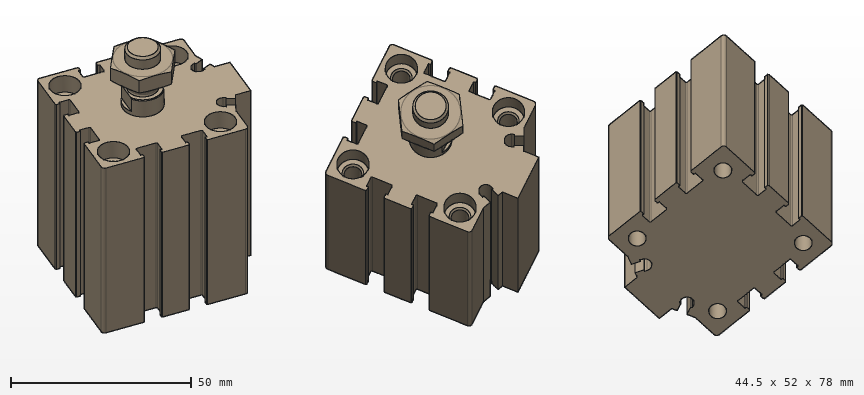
import cadquery as cq
import math

housing_width = 44.5
housing_depth = 52.0
housing_height = 58.0
half_width = housing_width / 2
corner_radius = 1.0

rail_half_width = 7.0
rail_top_y = housing_depth - half_width

sensor_slot_x = 8.6
sensor_slot_y = 20.7
sensor_slot_tilt = 22.5
sensor_slot_radius = 1.95
sensor_slot_mouth = 3.0
sensor_slot_lip_start = 0.8
sensor_face_height = 3.4

slot_offset = 6.9
slot_mouth = 5.2
slot_width = 6.5
slot_lip = 1.4
slot_depth = 4.6
slot_corner_radius = 0.3
slot_edge_radius = 0.2

mount_spacing = 32.6
mount_bore = 4.9
mount_counterbore = 9.0
mount_counterbore_depth = 5.8
mount_chamfer_top = 6.0

total_height = 78.0
rod_radius = 12.0 / 2
thread_radius = 10.0 / 2
neck_radius = 8.6 / 2
collar_radius = 9.0 / 2
shoulder_z = 63.9
shoulder_chamfer = 0.2
neck_bottom_z = 64.5
neck_top_z = 65.1
thread_bottom_z = 67.7
flare_radius = 11.7
tip_chamfer = 0.7
flat_half_width = 10.0 / 2
flat_clearance = 1.25
flat_bottom_z = housing_height + flat_clearance

nut_across_flats = 17.0
nut_bottom_z = 69.0
nut_height = 5.0
nut_face_radius = 16.6 / 2
nut_corner_drop = 0.35


def sensor_slot_point(across, along):
    """Point beside the left sensor slot, measured from the centre of its round bottom."""
    tilt = math.radians(sensor_slot_tilt)
    x = -sensor_slot_x + across * math.cos(tilt) - along * math.sin(tilt)
    y = sensor_slot_y + across * math.sin(tilt) + along * math.cos(tilt)
    return x, y


def make_sensor_shoulder():
    """Sloping block on the +Y side, from which the left sensor slot is cut."""
    slope = math.tan(math.radians(sensor_slot_tilt))
    face_x, face_y = sensor_slot_point(0, sensor_face_height)
    foot_x = face_x - (face_y - half_width) / slope
    rail_y = face_y + (-rail_half_width - face_x) * slope
    outline = [(foot_x, half_width), (-rail_half_width, rail_y), (-rail_half_width, half_width)]
    return cq.Workplane("XY").polyline(outline).close().extrude(housing_height)


def make_sensor_slot():
    """Left sensor slot: round bottom, straight sides and a narrower mouth."""
    mouth_half = sensor_slot_mouth / 2
    beyond_face = 2 * sensor_face_height
    return (
        cq.Workplane("XY")
        .moveTo(*sensor_slot_point(-mouth_half, beyond_face))
        .lineTo(*sensor_slot_point(-mouth_half, sensor_slot_lip_start))
        .lineTo(*sensor_slot_point(-sensor_slot_radius, sensor_slot_lip_start))
        .lineTo(*sensor_slot_point(-sensor_slot_radius, 0))
        .threePointArc(
            sensor_slot_point(0, -sensor_slot_radius),
            sensor_slot_point(sensor_slot_radius, 0),
        )
        .lineTo(*sensor_slot_point(sensor_slot_radius, sensor_slot_lip_start))
        .lineTo(*sensor_slot_point(mouth_half, sensor_slot_lip_start))
        .lineTo(*sensor_slot_point(mouth_half, beyond_face))
        .close()
        .extrude(housing_height)
    )


def make_side_slot(offset):
    """Undercut slot in the -Y side at the given X, running the full height, with rounded edges."""
    flared_mouth = slot_mouth / 2 + slot_edge_radius
    edge_y = -half_width + slot_edge_radius
    mouth = (
        cq.Workplane("XY")
        .center(offset, 0)
        .moveTo(-flared_mouth, -half_width)
        .lineTo(flared_mouth, -half_width)
        .radiusArc((slot_mouth / 2, edge_y), -slot_edge_radius)
        .lineTo(slot_mouth / 2, -half_width + slot_lip)
        .lineTo(-slot_mouth / 2, -half_width + slot_lip)
        .lineTo(-slot_mouth / 2, edge_y)
        .radiusArc((-flared_mouth, -half_width), -slot_edge_radius)
        .close()
        .extrude(housing_height)
    )
    pocket_depth = slot_depth - slot_lip
    pocket = (
        cq.Workplane("XY")
        .center(offset, -half_width + slot_lip + pocket_depth / 2)
        .rect(slot_width, pocket_depth)
        .extrude(housing_height)
        .edges("|Z and >Y")
        .fillet(slot_corner_radius)
    )
    return mouth.union(pocket)


def make_mounting_hole():
    """Counterbored through hole on the Z axis, with a countersunk counterbore floor."""
    bore_radius = mount_bore / 2
    counterbore_radius = mount_counterbore / 2
    chamfer_radius = mount_chamfer_top / 2
    floor_z = housing_height - mount_counterbore_depth
    chamfer_bottom_z = floor_z - (chamfer_radius - bore_radius)
    outline = [
        (0, 0),
        (bore_radius, 0),
        (bore_radius, chamfer_bottom_z),
        (chamfer_radius, floor_z),
        (counterbore_radius, floor_z),
        (counterbore_radius, housing_height),
        (0, housing_height),
    ]
    return cq.Workplane("XZ").polyline(outline).close().revolve(360, (0, 0), (0, 1))


def make_housing():
    body = (
        cq.Workplane("XY")
        .rect(housing_width, housing_width)
        .extrude(housing_height)
        .edges("|Z")
        .fillet(corner_radius)
    )
    rail = (
        cq.Workplane("XY")
        .center(0, rail_top_y / 2)
        .rect(2 * rail_half_width, rail_top_y)
        .extrude(housing_height)
    )
    shoulder = make_sensor_shoulder()
    body = body.union(rail).union(shoulder).union(shoulder.mirror("YZ"))

    sensor_slot = make_sensor_slot()
    body = body.cut(sensor_slot).cut(sensor_slot.mirror("YZ"))

    for offset in (-slot_offset, slot_offset):
        slot = make_side_slot(offset)
        for turn in (-90, 0, 90):
            body = body.cut(slot.rotate((0, 0, 0), (0, 0, 1), turn))

    mounting_hole = make_mounting_hole()
    for x in (-mount_spacing / 2, mount_spacing / 2):
        for y in (-mount_spacing / 2, mount_spacing / 2):
            body = body.cut(mounting_hole.translate((x, y, 0)))
    return body


def make_rod():
    """Rod standing on the housing: shoulder with two wrench flats, neck, hollow flare and threaded end."""
    rod = (
        cq.Workplane("XZ")
        .moveTo(0, housing_height)
        .lineTo(rod_radius, housing_height)
        .lineTo(rod_radius, shoulder_z - shoulder_chamfer)
        .lineTo(rod_radius - shoulder_chamfer, shoulder_z)
        .lineTo(collar_radius, shoulder_z)
        .lineTo(neck_radius, neck_bottom_z)
        .lineTo(neck_radius, neck_top_z)
        .radiusArc((thread_radius, thread_bottom_z), flare_radius)
        .lineTo(thread_radius, total_height - tip_chamfer)
        .lineTo(thread_radius - tip_chamfer, total_height)
        .lineTo(0, total_height)
        .close()
        .revolve(360, (0, 0), (0, 1))
    )
    flat_depth = rod_radius - flat_half_width
    for side in (-1, 1):
        flat_cut = (
            cq.Workplane("XY", origin=(0, 0, flat_bottom_z))
            .center(0, side * (flat_half_width + flat_depth / 2))
            .rect(2 * rod_radius, flat_depth)
            .extrude(shoulder_z - flat_bottom_z)
        )
        rod = rod.cut(flat_cut)
    return rod


def make_nut():
    """Hexagon nut with corners on the Y axis, bevelled on both faces."""
    hex_corner_radius = nut_across_flats / math.sqrt(3)
    nut_top_z = nut_bottom_z + nut_height
    hexagon = (
        cq.Workplane("XY", origin=(0, 0, nut_bottom_z))
        .polygon(6, 2 * hex_corner_radius)
        .extrude(nut_height)
        .rotate((0, 0, 0), (0, 0, 1), 90)
    )
    bevel_outline = [
        (0, nut_bottom_z),
        (nut_face_radius, nut_bottom_z),
        (hex_corner_radius, nut_bottom_z + nut_corner_drop),
        (hex_corner_radius, nut_top_z - nut_corner_drop),
        (nut_face_radius, nut_top_z),
        (0, nut_top_z),
    ]
    bevel = cq.Workplane("XZ").polyline(bevel_outline).close().revolve(360, (0, 0), (0, 1))
    thread_hole = (
        cq.Workplane("XY", origin=(0, 0, nut_bottom_z)).circle(thread_radius).extrude(nut_height)
    )
    return hexagon.intersect(bevel).cut(thread_hole)


housing = make_housing()
rod = make_rod()
nut = make_nut()

result = cq.Compound.makeCompound([housing.val(), rod.val(), nut.val()])